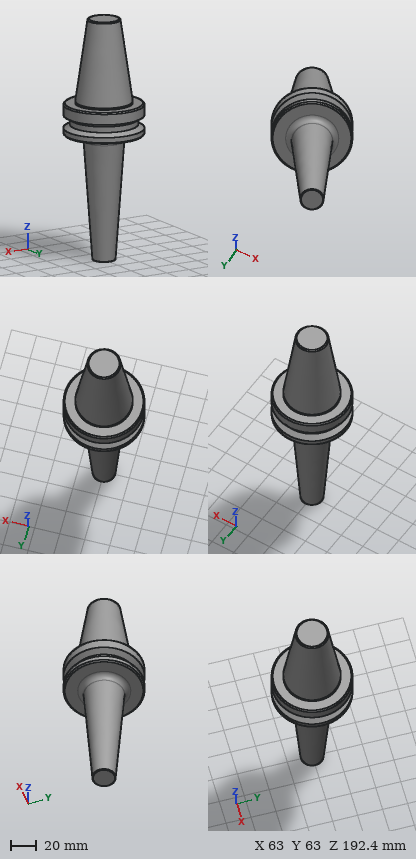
import cadquery as cq
import math

total_length = 192.4
shank_length = 65.5
flange_gap = 2.0
flange_width = 25.0

gauge_radius = 22.3
taper_slope = 7 / 24 / 2
shank_end_radius = gauge_radius - shank_length * taper_slope
shank_chamfer = 1.0
gauge_land = 0.5
relief_radius = 21.7
relief_step = gauge_radius - relief_radius

flange_diameter = 63.0
flange_radius = flange_diameter / 2
flange_chamfer = 1.2
groove_radius = 26.5
groove_center_z = -16.5
groove_floor_width = 4.6
groove_flank_angle = math.radians(30)

nose_tip_radius = 9.0
nose_angle = math.radians(4.1)
nose_fillet = 4.6
tip_chamfer = 0.5

flange_top_z = -flange_gap
flange_bottom_z = flange_top_z - flange_width
tip_z = shank_length - total_length
floor_half = groove_floor_width / 2
mouth_half = floor_half + (flange_radius - groove_radius) * math.tan(groove_flank_angle)


def nose_radius(z):
    """Radius of the nose cone at height z."""
    return nose_tip_radius + (z - tip_z) * math.tan(nose_angle)


fillet_center_z = flange_bottom_z - nose_fillet
fillet_center_r = nose_radius(fillet_center_z) + nose_fillet / math.cos(nose_angle)


def fillet_point(angle):
    """Point on the fillet arc; the angle is measured upward from the inward direction."""
    return (
        fillet_center_r - nose_fillet * math.cos(angle),
        fillet_center_z + nose_fillet * math.sin(angle),
    )


fillet_start_angle = math.pi / 2
fillet_end_angle = -nose_angle
fillet_mid_angle = (fillet_start_angle + fillet_end_angle) / 2

profile = (
    cq.Workplane("XZ")
    .moveTo(0, shank_length)
    .lineTo(shank_end_radius - shank_chamfer, shank_length)
    .lineTo(shank_end_radius + shank_chamfer * taper_slope, shank_length - shank_chamfer)
    .lineTo(gauge_radius, 0)
    .lineTo(gauge_radius, -gauge_land)
    .lineTo(relief_radius, -gauge_land - relief_step)
    .lineTo(relief_radius, flange_top_z + relief_step)
    .lineTo(gauge_radius, flange_top_z)
    .lineTo(flange_radius - flange_chamfer, flange_top_z)
    .lineTo(flange_radius, flange_top_z - flange_chamfer)
    .lineTo(flange_radius, groove_center_z + mouth_half)
    .lineTo(groove_radius, groove_center_z + floor_half)
    .lineTo(groove_radius, groove_center_z - floor_half)
    .lineTo(flange_radius, groove_center_z - mouth_half)
    .lineTo(flange_radius, flange_bottom_z + flange_chamfer)
    .lineTo(flange_radius - flange_chamfer, flange_bottom_z)
    .lineTo(*fillet_point(fillet_start_angle))
    .threePointArc(fillet_point(fillet_mid_angle), fillet_point(fillet_end_angle))
    .lineTo(nose_radius(tip_z + tip_chamfer), tip_z + tip_chamfer)
    .lineTo(nose_tip_radius - tip_chamfer, tip_z)
    .lineTo(0, tip_z)
    .close()
)

result = profile.revolve(360, (0, 0, 0), (0, 1, 0))